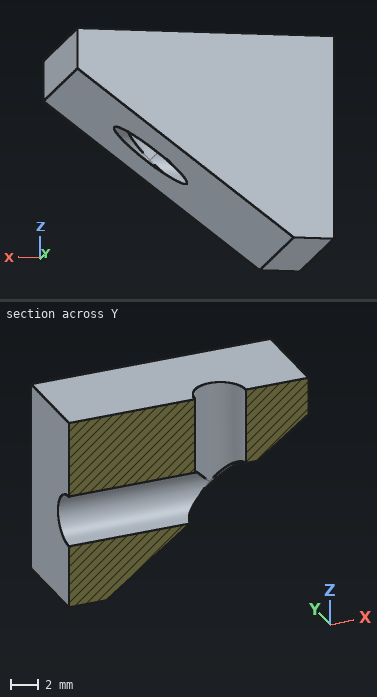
import cadquery as cq

length = 19.0
width = 14.0
height = 15.0

end_land = 3.0

hole_diameter = 4.0
vertical_hole_from_back = 12.0
horizontal_hole_from_top = 8.0


def wedge_body():
    """Extrude the side outline symmetrically about the XZ plane."""
    outline = [
        (0, 0),
        (end_land, 0),
        (length, height - end_land),
        (length, height),
        (0, height),
    ]
    return cq.Workplane("XZ").polyline(outline).close().extrude(width / 2, both=True)


def vertical_hole():
    """Cylinder running down through the top face."""
    return (
        cq.Workplane("XY")
        .center(vertical_hole_from_back, 0)
        .circle(hole_diameter / 2)
        .extrude(height)
    )


def horizontal_hole():
    """Cylinder running along X through the upright back face."""
    return (
        cq.Workplane("YZ")
        .center(0, height - horizontal_hole_from_top)
        .circle(hole_diameter / 2)
        .extrude(length)
    )


result = wedge_body().cut(vertical_hole()).cut(horizontal_hole())